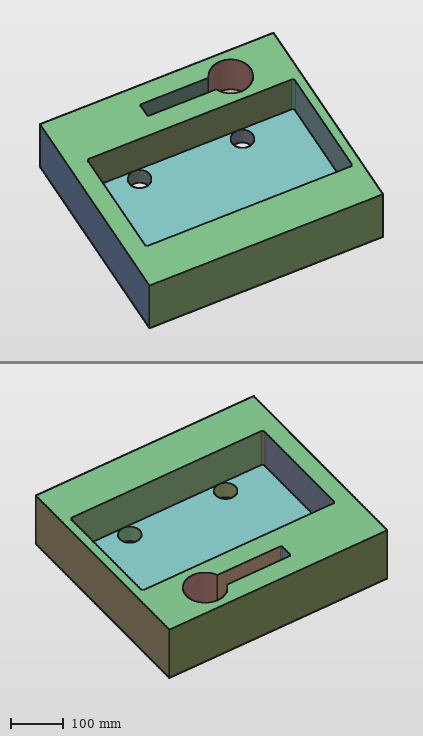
import cadquery as cq

block_width = 455.0
block_length = 500.0
block_height = 125.0

pocket_width = 245.0
pocket_length = 442.5
pocket_depth = 87.5
pocket_corner_radius = 5.0
pocket_left = 120.0
pocket_front = 39.0

hole_diameter = 45.0
hole_spacing_x = pocket_width - hole_diameter
hole_spacing_y = 220.0
hole_center_x = pocket_left + pocket_width / 2
hole_center_y = 250.0

head_diameter = 85.0
head_x = 60.0
head_y = 377.5
slot_width = 32.5
slot_front = 191.5
slot_corner_radius = 2.5
keyhole_depth = pocket_depth


def cutter(width, length, depth, corner_radius):
    """Box with rounded corners, centred in X, starting at Y = 0, sunk from the top face."""
    box = cq.Workplane("XY").box(width, length, depth, centered=(True, False, False))
    return box.edges("|Z").fillet(corner_radius).translate((0, 0, block_height - depth))


block = cq.Workplane("XY").box(block_width, block_length, block_height, centered=False)

pocket = cutter(pocket_width, pocket_length, pocket_depth, pocket_corner_radius)
pocket = pocket.translate((hole_center_x, pocket_front, 0))

holes = (
    cq.Workplane("XY")
    .center(hole_center_x, hole_center_y)
    .rarray(hole_spacing_x, hole_spacing_y, 2, 2)
    .circle(hole_diameter / 2)
    .extrude(block_height)
)

head = (
    cq.Workplane("XY", origin=(head_x, head_y, block_height))
    .circle(head_diameter / 2)
    .extrude(-keyhole_depth)
)
slot = cutter(slot_width, head_y - slot_front, keyhole_depth, slot_corner_radius)
slot = slot.translate((head_x, slot_front, 0))

result = block.cut(pocket).cut(holes).cut(head).cut(slot)